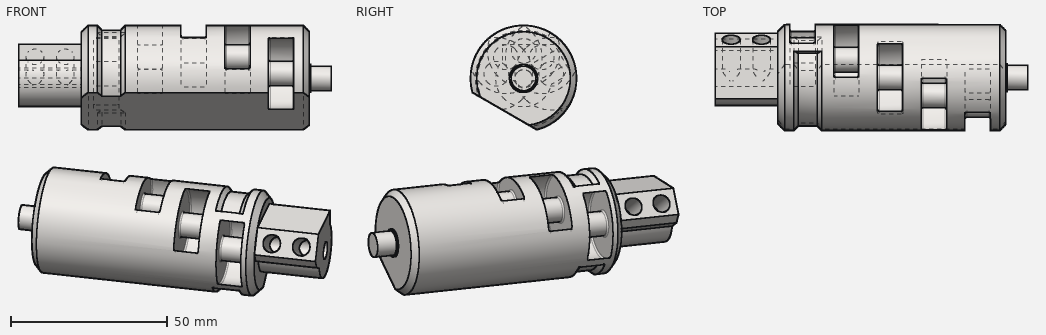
import cadquery as cq
import math

total_length = 100.0
shank_length = 20.0
body_end = 93.0
front_chamfer = 2.2
rear_chamfer = 2.0

body_radius = 17.0
flat_distance = 12.1
flat_angle = 30.0

shank_radius = 9.0
lug_top = 11.0
lug_side = -6.8
lug_corner_y = 9.8
lug_tip = (14.2, 3.4)
lug_notch = (12.4, 0.2)
lug_foot = (8.7, -1.9)
bore_diameter = 5.7
screw_diameter = 5.7
screw_positions = (5.1, 14.8)
screw_angle = 60.0

groove_start = 25.1
groove_end = 34.1
groove_depth = 1.5
groove_sweep = 260.0
groove_end_tilt = 30.0

window_count = 5
window_start = 23.9
window_length = 8.1
window_pitch = 14.0
window_radius = 11.6
window_fillet = 0.5
window_twist = 40.0
first_window_angle = -80.0

pin_offset = 8.9
pin_diameter = 7.9
collar_diameter = 9.0
collar_length = 0.5


def x_cylinder(start, length, diameter):
    return cq.Workplane("YZ", origin=(start, 0, 0)).circle(diameter / 2).extrude(length)


def about_x(shape, angle):
    """Rotate about the part axis; positive angles carry +Z towards -Y."""
    return shape.rotate((0, 0, 0), (1, 0, 0), angle)


def make_body():
    body = x_cylinder(shank_length, body_end - shank_length, 2 * body_radius)
    body = body.faces("<X").chamfer(front_chamfer)
    return body.faces(">X").chamfer(rear_chamfer)


def make_flat_cut():
    block = cq.Workplane("XY").box(total_length, 4 * body_radius, body_radius, centered=(False, True, False))
    block = block.translate((0, 0, -flat_distance - body_radius))
    return about_x(block, -flat_angle)


def make_groove():
    floor_radius = body_radius - groove_depth
    outer_radius = body_radius + groove_depth
    profile = [
        (groove_start - groove_depth, outer_radius),
        (groove_start + groove_depth, floor_radius),
        (groove_end - groove_depth, floor_radius),
        (groove_end + groove_depth, outer_radius),
    ]
    groove = cq.Workplane("XZ").polyline(profile).close().revolve(groove_sweep, (0, 0, 0), (1, 0, 0))
    return about_x(groove, -groove_end_tilt)


def make_window():
    """Ring-shaped pocket around a pin, breaking out of the body towards +Z."""
    pocket = x_cylinder(window_start, window_length, 2 * window_radius)
    pocket = pocket.cut(x_cylinder(window_start, window_length, pin_diameter))
    pocket = pocket.translate((0, 0, pin_offset))
    return pocket.faces("<X or >X").edges().fillet(window_fillet)


def make_shank():
    lug_side_foot = math.sqrt(shank_radius**2 - lug_side**2)
    lug = (
        cq.Workplane("YZ")
        .polyline([
            (0, 0),
            (lug_side, lug_side_foot),
            (lug_side, lug_top),
            (lug_corner_y, lug_top),
            lug_tip,
            lug_notch,
            lug_foot,
            (lug_foot[0], -math.sqrt(shank_radius**2 - lug_foot[0]**2)),
        ])
        .close()
        .extrude(shank_length)
    )
    shank = x_cylinder(0, shank_length, 2 * shank_radius).union(lug)
    shank = shank.cut(x_cylinder(0, shank_length, bore_diameter))
    for position in screw_positions:
        screw_hole = (
            cq.Workplane("XY").center(position, 0).circle(screw_diameter / 2).extrude(body_radius)
        )
        shank = shank.cut(about_x(screw_hole, -screw_angle))
    return shank


body = make_body().cut(make_flat_cut()).cut(make_groove())
window = make_window()
for index in range(window_count):
    placed_window = window.translate((index * window_pitch, 0, 0))
    body = body.cut(about_x(placed_window, first_window_angle + index * window_twist))

rear_collar = x_cylinder(body_end, collar_length, collar_diameter)
rear_stub = x_cylinder(body_end, total_length - body_end, pin_diameter)
result = body.union(make_shank()).union(rear_collar).union(rear_stub)